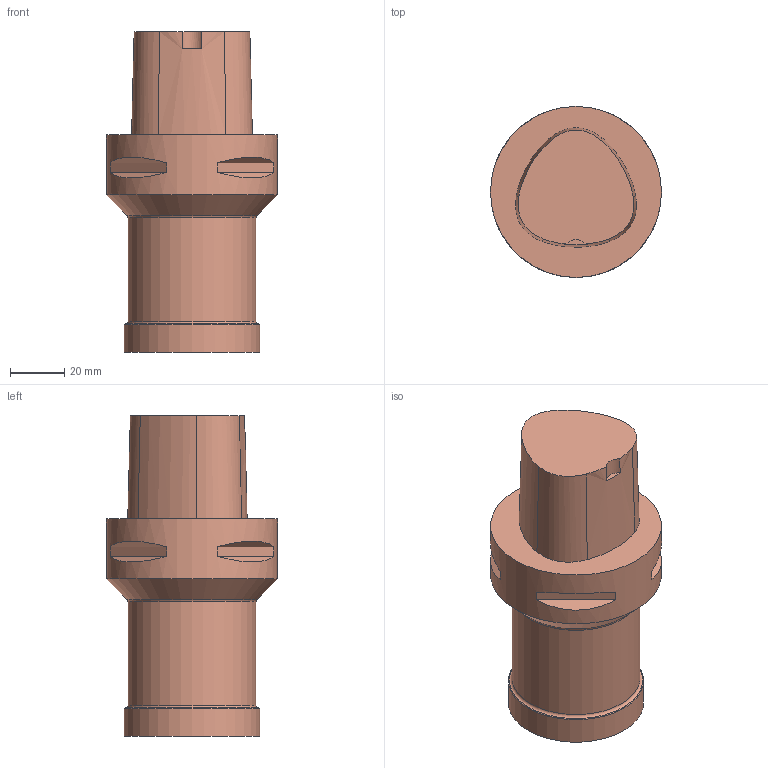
import cadquery as cq
import math


shank_length = 38.0
shank_base_diameter = 44.0
shank_taper = 1 / 20
lobe_eccentricity = 1.65
shank_face_count = 6
points_per_face = 9

keyway_radius = 4.6
keyway_height = 6.3
keyway_depth = 1.75

flange_diameter = 63.0
flange_radius = flange_diameter / 2
flange_height = 22.0
slot_count = 4
slot_center_z = -12.0
slot_floor_width = 3.5
slot_floor_distance = 27.9
slot_side_angle = 30.0

overall_length = 118.01
neck_diameter = 47.1
neck_radius = neck_diameter / 2
neck_top_fillet = 1.5

cap_diameter = 49.8
cap_radius = cap_diameter / 2
cap_shoulder_height = 10.4
cap_flare_radius = 1.05
cap_corner_radius = cap_radius - neck_radius - cap_flare_radius

cap_bottom_z = shank_length - overall_length
cap_shoulder_z = cap_bottom_z + cap_shoulder_height
cap_top_z = cap_shoulder_z + cap_flare_radius


def shank_curve(radius, angle):
    """Point and tangent of the three-lobed curve, one lobe pointing to +Y."""
    x = radius * math.cos(angle) - lobe_eccentricity * math.sin(2 * angle)
    y = radius * math.sin(angle) - lobe_eccentricity * math.cos(2 * angle)
    tangent_x = -radius * math.sin(angle) - 2 * lobe_eccentricity * math.cos(2 * angle)
    tangent_y = radius * math.cos(angle) + 2 * lobe_eccentricity * math.sin(2 * angle)
    return x, y, tangent_x, tangent_y


def shank_outline(radius, z):
    """Closed wire of the shank section, split where its curvature changes from side to lobe."""
    face_angle = 2 * math.pi / shank_face_count
    edges = []
    for face in range(shank_face_count):
        points = []
        tangents = []
        for step in range(points_per_face):
            angle = face_angle * (face + step / (points_per_face - 1))
            x, y, tangent_x, tangent_y = shank_curve(radius, angle)
            points.append(cq.Vector(x, y, z))
            tangents.append(cq.Vector(tangent_x, tangent_y, 0))
        edges.append(cq.Edge.makeSpline(points, tangents=[tangents[0], tangents[-1]]))
    return cq.Wire.assembleEdges(edges)


def make_shank():
    base_radius = shank_base_diameter / 2
    top_radius = base_radius - shank_length * shank_taper / 2
    outlines = [shank_outline(base_radius, 0), shank_outline(top_radius, shank_length)]
    shank = cq.Workplane(cq.Solid.makeLoft(outlines, True))

    top_side_y = lobe_eccentricity - top_radius
    keyway_center_y = top_side_y + keyway_depth - keyway_radius
    keyway = (
        cq.Workplane("XY", origin=(0, keyway_center_y, shank_length - keyway_height))
        .circle(keyway_radius)
        .extrude(keyway_height)
    )
    return shank.cut(keyway)


def make_turned_body():
    """Flange, 45 degree cone and neck as one revolved profile."""
    cone_bottom_z = -flange_height - (flange_radius - neck_radius)
    fillet_half_turn = math.radians(45 / 2)
    setback = neck_top_fillet * math.tan(fillet_half_turn)
    setback_step = setback * math.sqrt(0.5)
    fillet_center = (neck_radius + neck_top_fillet, cone_bottom_z - setback)
    fillet_middle_point = (
        fillet_center[0] - neck_top_fillet * math.cos(fillet_half_turn),
        fillet_center[1] + neck_top_fillet * math.sin(fillet_half_turn),
    )

    profile = (
        cq.Workplane("XZ")
        .moveTo(0, 0)
        .lineTo(flange_radius, 0)
        .lineTo(flange_radius, -flange_height)
        .lineTo(neck_radius + setback_step, cone_bottom_z + setback_step)
        .threePointArc(fillet_middle_point, (neck_radius, fillet_center[1]))
        .lineTo(neck_radius, cap_top_z)
        .lineTo(0, cap_top_z)
        .close()
    )
    return profile.revolve(360, (0, 0, 0), (0, 1, 0))


def make_gripper_slot():
    """V-sided cutter crossing the flange at its +X side."""
    slot_depth = flange_radius - slot_floor_distance
    floor_half = slot_floor_width / 2
    mouth_half = floor_half + slot_depth * math.tan(math.radians(slot_side_angle))
    return (
        cq.Workplane("XZ", origin=(0, 0, slot_center_z))
        .moveTo(slot_floor_distance, -floor_half)
        .lineTo(flange_radius, -mouth_half)
        .lineTo(flange_radius, mouth_half)
        .lineTo(slot_floor_distance, floor_half)
        .close()
        .extrude(flange_radius, both=True)
    )


def make_holder():
    body = make_turned_body().union(make_shank())
    slot = make_gripper_slot()
    slot_spacing = 360 / slot_count
    for index in range(slot_count):
        angle = slot_spacing * (index + 0.5)
        body = body.cut(slot.rotate((0, 0, 0), (0, 0, 1), angle))
    return body


def make_end_cap():
    """Revolved cap: a hollow flare at the neck runs smoothly into a rounded outer corner."""
    shoulder_radius = neck_radius + cap_flare_radius
    corner_bottom_z = cap_shoulder_z - cap_corner_radius
    diagonal = math.sqrt(0.5)
    flare_middle = (
        shoulder_radius - cap_flare_radius * diagonal,
        cap_top_z - cap_flare_radius * diagonal,
    )
    corner_middle = (
        shoulder_radius + cap_corner_radius * diagonal,
        corner_bottom_z + cap_corner_radius * diagonal,
    )
    profile = (
        cq.Workplane("XZ")
        .moveTo(0, cap_top_z)
        .lineTo(neck_radius, cap_top_z)
        .threePointArc(flare_middle, (shoulder_radius, cap_shoulder_z))
        .threePointArc(corner_middle, (cap_radius, corner_bottom_z))
        .lineTo(cap_radius, cap_bottom_z)
        .lineTo(0, cap_bottom_z)
        .close()
    )
    return profile.revolve(360, (0, 0, 0), (0, 1, 0))


holder = make_holder()
end_cap = make_end_cap()

result = cq.Compound.makeCompound([holder.val(), end_cap.val()])